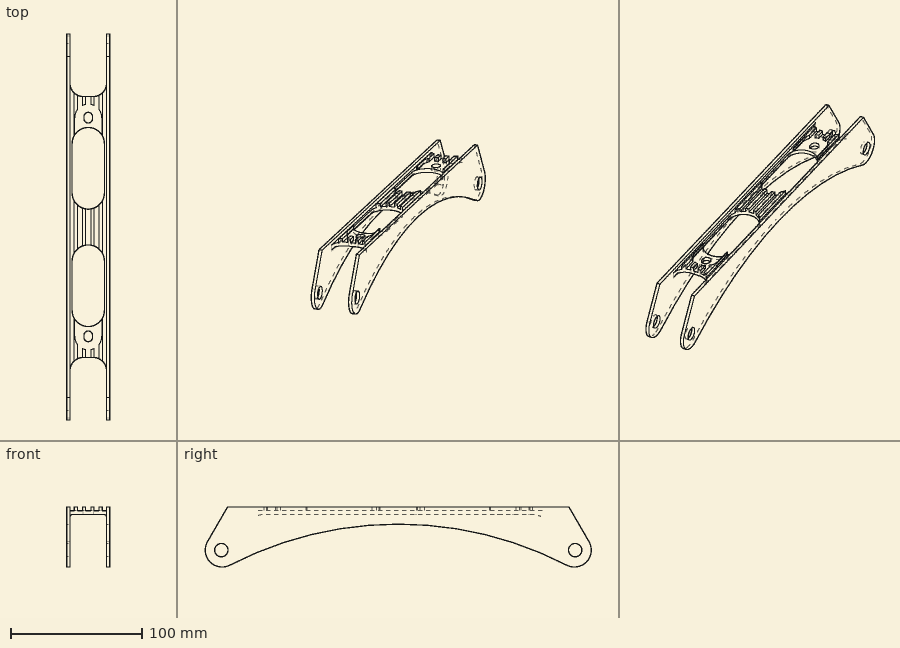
import cadquery as cq
import math

length = 294.5
width = 33.0
height = 46.0

wall = 2.7
end_radius = 13.0
pin_diameter = 10.0
pin_edge_distance = 12.5
top_half_length = 130.2
arch_crown_z = 32.7

web_thickness = 3.0
web_half_length = 99.5
web_corner_radius = 10.0
under_web_fillet = 1.8

rib_height = 3.0
rib_width = 2.7
rib_offsets = (3.2, 9.5)

window_length = 62.2
window_width = 24.5
window_center_y = 44.8
bolt_slot_width = 6.5
bolt_slot_length = 8.0
bolt_center_y = 83.5
bolt_pad_radius = 10.3

inner_half_width = width / 2 - wall
lug_y = length / 2 - end_radius
lug_z = end_radius
pin_y = length / 2 - pin_edge_distance
pin_z = lug_z
web_top = height - rib_height
web_bottom = web_top - web_thickness


def side_profile():
    """Closed wall outline: arched below, rounded lugs at both ends, sloped shoulders."""
    rise = arch_crown_z - lug_z
    arch_radius = (lug_y**2 + rise**2 - end_radius**2) / (2 * (rise + end_radius))
    arch_angle = math.asin(lug_y / (arch_radius + end_radius))
    arch_end_y = arch_radius * math.sin(arch_angle)
    arch_end_z = arch_crown_z - arch_radius * (1 - math.cos(arch_angle))

    corner_dy = top_half_length - lug_y
    corner_dz = height - lug_z
    corner_angle = math.atan2(corner_dz, corner_dy)
    tangent_angle = corner_angle - math.acos(end_radius / math.hypot(corner_dy, corner_dz))
    shoulder_y = lug_y + end_radius * math.cos(tangent_angle)
    shoulder_z = lug_z + end_radius * math.sin(tangent_angle)

    return (
        cq.Workplane("YZ")
        .moveTo(-top_half_length, height)
        .lineTo(top_half_length, height)
        .lineTo(shoulder_y, shoulder_z)
        .threePointArc((length / 2, lug_z), (arch_end_y, arch_end_z))
        .threePointArc((0, arch_crown_z), (-arch_end_y, arch_end_z))
        .threePointArc((-length / 2, lug_z), (-shoulder_y, shoulder_z))
        .close()
    )


def make_walls():
    """Two parallel side walls with a pin hole in each lug."""
    body = side_profile().extrude(width / 2, both=True)
    channel = cq.Workplane("XY").box(2 * inner_half_width, length, 2 * height)
    pins = (
        cq.Workplane("YZ")
        .pushPoints([(-pin_y, pin_z), (pin_y, pin_z)])
        .circle(pin_diameter / 2)
        .extrude(width, both=True)
    )
    return body.cut(channel).cut(pins)


def make_web():
    """Ribbed floor between the walls, filleted into them underneath."""
    web_reach = web_half_length + web_corner_radius
    section = (
        cq.Workplane("XZ")
        .moveTo(-inner_half_width, web_top)
        .lineTo(inner_half_width, web_top)
        .lineTo(inner_half_width, web_bottom - under_web_fillet)
        .radiusArc((inner_half_width - under_web_fillet, web_bottom), -under_web_fillet)
        .lineTo(under_web_fillet - inner_half_width, web_bottom)
        .radiusArc((-inner_half_width, web_bottom - under_web_fillet), -under_web_fillet)
        .close()
    )
    web = section.extrude(web_reach, both=True)
    for offset in rib_offsets:
        for x in (-offset, offset):
            rib = cq.Workplane("XY").box(rib_width, 2 * web_reach, rib_height + web_thickness)
            web = web.union(rib.translate((x, 0, (height + web_bottom) / 2)))
    return web


def cut_end_mouth(web, side):
    """Open the web beyond its end, leaving rounded corners at the walls."""
    depth = length / 2
    mouth = (
        cq.Workplane("XY")
        .center(0, side * (web_half_length + depth / 2))
        .rect(2 * inner_half_width, depth)
        .extrude(height)
        .edges("|Z")
        .fillet(web_corner_radius)
    )
    return web.cut(mouth)


def cut_openings(web, side):
    """Weight-saving window, bolt slot, and a flat pad clearing the ribs around the bolt."""
    window_y = side * window_center_y
    bolt_y = side * bolt_center_y
    window = (
        cq.Workplane("XY")
        .center(0, window_y)
        .slot2D(window_length, window_width, 90)
        .extrude(height)
    )
    bolt = (
        cq.Workplane("XY")
        .center(0, bolt_y)
        .slot2D(bolt_slot_length, bolt_slot_width, 90)
        .extrude(height)
    )
    pad_length = bolt_center_y - window_center_y + 2 * bolt_pad_radius
    pad = (
        cq.Workplane("XY", origin=(0, 0, web_top))
        .center(0, (window_y + bolt_y) / 2)
        .slot2D(pad_length, 2 * bolt_pad_radius, 90)
        .extrude(rib_height)
    )
    return web.cut(window).cut(bolt).cut(pad)


web = make_web()
for side in (-1, 1):
    web = cut_end_mouth(web, side)
    web = cut_openings(web, side)

result = make_walls().union(web)